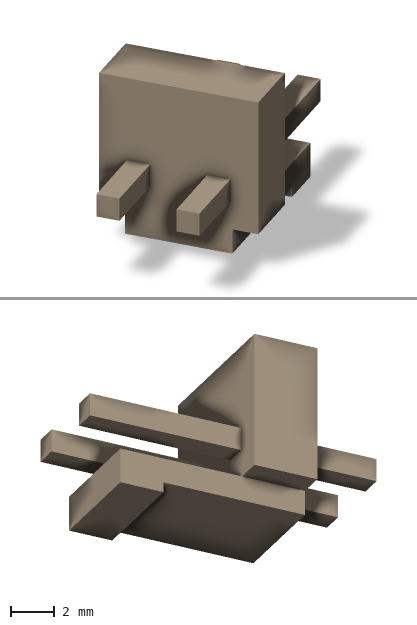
import cadquery as cq

wall_width = 7.86
wall_depth = 3.2
wall_height = 6.76

tongue_width = 5.3
tongue_length = 9.4
tongue_thickness = 1.24
lip_length = 2.2
lip_drop = 0.5

pin_count = 2
pin_pitch = 3.96
pin_side = 1.14
pin_length = 14.6
pin_front_reach = 3.7
pin_axis_height = 1.98


def make_wall():
    """Upright block standing on Z = 0."""
    return cq.Workplane("XY").box(
        wall_width, wall_depth, wall_height, centered=(True, False, False)
    ).val()


def make_tongue():
    """Flat tongue below Z = 0 with a downward lip at its rear end."""
    lip_start = tongue_length - lip_length
    lip_bottom = -tongue_thickness - lip_drop
    return (
        cq.Workplane("YZ", origin=(-tongue_width / 2, 0, 0))
        .moveTo(0, 0)
        .lineTo(tongue_length, 0)
        .lineTo(tongue_length, lip_bottom)
        .lineTo(lip_start, lip_bottom)
        .lineTo(lip_start, -tongue_thickness)
        .lineTo(0, -tongue_thickness)
        .close()
        .extrude(tongue_width)
        .val()
    )


def make_pin(x):
    """Square pin along Y, centred on the given X."""
    return (
        cq.Workplane("XY")
        .box(pin_side, pin_length, pin_side, centered=(True, False, True))
        .translate((x, -pin_front_reach, pin_axis_height))
        .val()
    )


result = cq.Workplane("XY").add(make_wall()).union(make_tongue())
for index in range(pin_count):
    pin_x = (index - (pin_count - 1) / 2) * pin_pitch
    result = result.union(make_pin(pin_x))